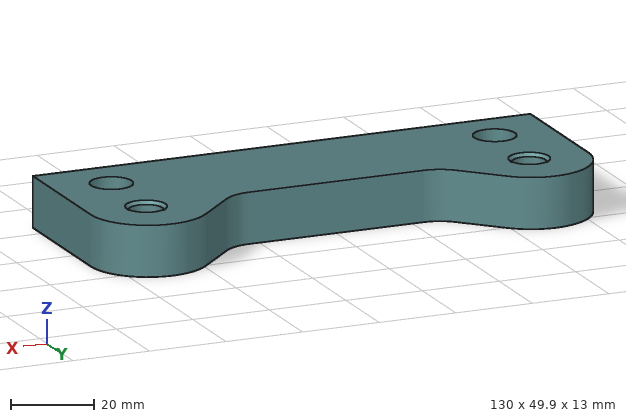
import cadquery as cq
import math

length = 130.0
depth = 49.9
thickness = 13.0
ear_radius = 15.0
notch_floor = 33.0
notch_fillet = 10.0
flank_angle = math.radians(45)

hole_x = length / 2 - ear_radius
plain_hole_y = 13.0
plain_hole_diameter = 10.5
ear_hole_y = 33.9
ear_hole_diameter = 8.5
ear_hole_mouth_diameter = 10.1

ear_y = depth - ear_radius
tangent_x = hole_x - ear_radius * math.sin(flank_angle)
tangent_y = ear_y + ear_radius * math.cos(flank_angle)
notch_half_width = tangent_x - (tangent_y - notch_floor) / math.tan(flank_angle)


def make_plate():
    """Plate with two rounded ears and a filleted notch between them."""
    plate = (
        cq.Workplane("XY")
        .moveTo(-length / 2, 0)
        .lineTo(length / 2, 0)
        .lineTo(length / 2, ear_y)
        .threePointArc((hole_x, depth), (tangent_x, tangent_y))
        .lineTo(notch_half_width, notch_floor)
        .lineTo(-notch_half_width, notch_floor)
        .lineTo(-tangent_x, tangent_y)
        .threePointArc((-hole_x, depth), (-length / 2, ear_y))
        .close()
        .extrude(thickness)
    )
    notch_corners = cq.selectors.BoxSelector(
        (-notch_half_width - 1.3, notch_floor - 1.3, 0),
        (notch_half_width + 1.3, notch_floor + 1.3, thickness),
    )
    return plate.edges("|Z").edges(notch_corners).fillet(notch_fillet)


def cut_holes(plate):
    """Plain through holes near the long edge, countersunk ones in the ears."""
    top = plate.faces(">Z").workplane(origin=(0, 0, thickness))
    plate = top.pushPoints([(-hole_x, plain_hole_y), (hole_x, plain_hole_y)]).hole(plain_hole_diameter)
    top = plate.faces(">Z").workplane(origin=(0, 0, thickness))
    return top.pushPoints([(-hole_x, ear_hole_y), (hole_x, ear_hole_y)]).cskHole(
        ear_hole_diameter, ear_hole_mouth_diameter, 90
    )


result = cut_holes(make_plate())